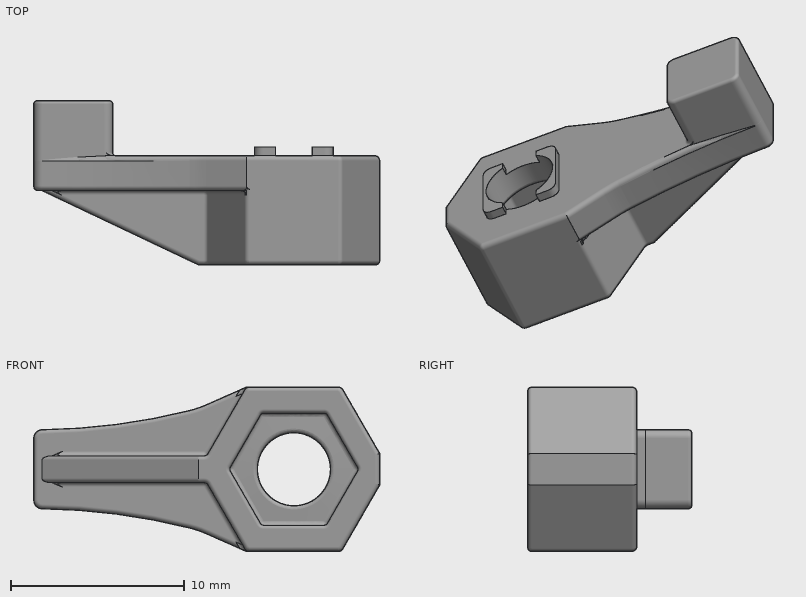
import cadquery as cq
import math

body_flats = 9.48
body_depth = 6.3
body_right = 4.95
body_round = 0.3

pocket_flats = 6.46
pocket_depth = 4.8
pocket_round = 0.22
floor_slope = math.radians(2.6)
bore_radius = 2.1

arm_left = -15.0
arm_thickness = 2.02
arm_flare_radius = 37.0
arm_flare_end = -5.5
arm_blend_radius = 6.0
arm_round = 0.25

square_side = 4.56
square_round = 0.5
post_height = 3.17
post_round = 0.2
post_foot_round = 0.18
key_height = 0.5
key_gap = 2.1

rib_width = 1.55
rib_tip = -14.52
rib_top = -5.5
rib_root = 0.1
front_round = 0.25
inner_round = 0.25

tolerance = 0.01
tan60 = math.tan(math.radians(60))
cos30 = math.cos(math.radians(30))
half_flats = body_flats / 2
corner_x = half_flats / tan60
half_square = square_side / 2
half_rib = rib_width / 2
post_x = arm_left + half_square
rib_slope = (body_depth - arm_thickness) / (rib_top - rib_tip)
rib_meets_body = -2 * corner_x + half_rib / tan60
space_run = 3 * corner_x

rib_slope_edges = cq.selectors.BoxSelector(
    (rib_tip, -body_depth + tolerance, -rib_width),
    (rib_top - rib_width, -arm_thickness, rib_width))


def prism_plane(depth=0.0):
    """Sketch plane parallel to XZ at Y = -depth; extrusions from it run toward -Y."""
    return cq.Workplane("XZ").workplane(offset=depth)


def depth_edges(part, x):
    """Edges parallel to Y at the given X."""
    return part.edges("|Y").filter(lambda edge: abs(edge.Center().x - x) < tolerance)


def rib_profile(start_depth):
    """Side outline of the rib, whose sloping face is carried on to the given depth."""
    start_x = rib_tip + (start_depth - arm_thickness) / rib_slope
    return cq.Workplane("XY").polyline([
        (start_x, -start_depth),
        (rib_top, -body_depth),
        (-corner_x, -body_depth),
        (-corner_x, -start_depth),
    ]).close()


def make_body_with_rib():
    hexagon = prism_plane().polygon(6, body_flats / cos30).extrude(body_depth)
    blank = prism_plane().rect(4 * corner_x, body_flats).extrude(body_depth)
    body = hexagon.intersect(blank.translate((body_right - 2 * corner_x, 0, 0)))
    rib = rib_profile(arm_thickness - rib_root).extrude(half_rib, both=True)
    part = body.union(rib)
    part = depth_edges(part, rib_meets_body).fillet(inner_round)
    for x in (-corner_x, corner_x):
        part = depth_edges(part, x).fillet(body_round)
    return part


def round_front(part):
    """Round the front outline of body and rib, and the two long edges of the sloping rib face."""
    rim = part.faces("<Y").edges().filter(lambda edge: abs(edge.Center().x - rib_top) > tolerance)
    return rim.add(part.edges(rib_slope_edges)).fillet(front_round)


def flare(x):
    """Half height of the arm on its long arc, which starts parallel to X at the free end."""
    run = x - arm_left
    return half_square + arm_flare_radius - math.sqrt(arm_flare_radius ** 2 - run ** 2)


def make_arm():
    middle_x = (arm_left + arm_flare_end) / 2
    arm = (
        prism_plane()
        .moveTo(arm_left, -half_square)
        .threePointArc((middle_x, -flare(middle_x)), (arm_flare_end, -flare(arm_flare_end)))
        .lineTo(-corner_x, -half_flats)
        .lineTo(0, -half_flats)
        .lineTo(0, half_flats)
        .lineTo(-corner_x, half_flats)
        .lineTo(arm_flare_end, flare(arm_flare_end))
        .threePointArc((middle_x, flare(middle_x)), (arm_left, half_square))
        .close()
        .extrude(arm_thickness)
    )
    arm = depth_edges(arm, arm_flare_end).fillet(arm_blend_radius)
    return depth_edges(arm, arm_left).fillet(square_round)


def round_arm_front(arm):
    """Round the front edges of the arm outside the body."""
    outside = arm.faces("<Y").edges().filter(lambda edge: edge.Center().x < -corner_x - tolerance)
    return outside.fillet(arm_round)


def make_corner_space(side, depth):
    """Open space in front of the arm, between the rib wall and the slanted body wall of one side."""
    near = side * half_rib
    far = side * (half_rib + space_run * tan60)
    return (
        prism_plane(arm_thickness)
        .moveTo(2 * arm_left, near)
        .lineTo(rib_meets_body, near)
        .lineTo(rib_meets_body + space_run, far)
        .lineTo(2 * arm_left, far)
        .close()
        .extrude(depth)
    )


def make_base_fillet(side, arm):
    """Fillet along the foot of the rib and body on one side, tapering off at the tip of the rib."""
    rounded = depth_edges(make_corner_space(side, body_depth), rib_meets_body).fillet(inner_round)
    walls = cq.selectors.BoxSelector(
        (2 * arm_left + tolerance, -arm_thickness - tolerance, -body_flats),
        (corner_x, -arm_thickness + tolerance, body_flats))
    rounded = rounded.edges(walls).fillet(inner_round)
    below_slope = rib_profile(0).extrude(half_rib + inner_round, both=True)
    below_slope = below_slope.edges(rib_slope_edges).chamfer(inner_round + front_round)
    beside_body = prism_plane().rect(-2 * (rib_top - inner_round), 2 * body_flats).extrude(body_depth)
    below_slope = below_slope.union(beside_body)
    above_arm = arm.translate((0, -arm_thickness, 0))
    strip = make_corner_space(side, inner_round).cut(rounded)
    return strip.intersect(below_slope).intersect(above_arm)


def make_square_bar(center_x, depth, length):
    """Square bar with rounded corners running back (toward +Y) from Y = -depth."""
    bar = prism_plane(depth).center(center_x, 0).rect(square_side, square_side).extrude(-length)
    return bar.edges("|Y").fillet(square_round)


def make_post():
    seat = arm_thickness - arm_round
    post = make_square_bar(post_x, seat, seat + post_height)
    return post.faces(">Y").edges().fillet(post_round)


def make_post_foot():
    """Concave round between the post and the flat back of the arm, on the side facing the body."""
    flat_half = flare(post_x + half_square) - body_round
    slab = prism_plane().center(post_x, 0).rect(2 * square_side, 2 * square_side).extrude(arm_thickness)
    foot = slab.union(make_square_bar(post_x, 0, post_height / 2))
    seat = cq.selectors.BoxSelector(
        (post_x - half_square - tolerance, -tolerance, -half_square - tolerance),
        (post_x + half_square + tolerance, tolerance, half_square + tolerance))
    foot = foot.edges(seat).fillet(post_foot_round)
    region = prism_plane().center(post_x + half_square, 0).rect(square_side, 2 * flat_half)
    return foot.intersect(region.extrude(-post_foot_round))


def make_key():
    key = make_square_bar(0, 0, key_height)
    gap = prism_plane().rect(key_gap, 2 * square_side).extrude(-key_height)
    return key.cut(gap)


def from_bore_axis(edge):
    """Distance of the midpoint of an edge from the bore axis."""
    return math.hypot(edge.Center().x, edge.Center().z)


def make_pocket():
    """Hexagonal pocket with rounded corners and a floor that rises as a flat cone to the bore."""
    floor_y = pocket_depth - body_depth
    cone_radius = pocket_flats
    slope = math.tan(floor_slope)
    cone = (
        cq.Workplane("YZ")
        .moveTo(-body_depth, 0)
        .lineTo(-body_depth, cone_radius)
        .lineTo(floor_y + (cone_radius - bore_radius) * slope, cone_radius)
        .lineTo(floor_y - bore_radius * slope, 0)
        .close()
        .revolve(360, (0, 0, 0), (1, 0, 0))
    )
    hexagon = prism_plane().polygon(6, pocket_flats / cos30).extrude(body_depth)
    pocket = hexagon.intersect(cone).edges("|Y").fillet(pocket_round)
    floor_rim = pocket.faces("%CONE").edges().filter(lambda edge: from_bore_axis(edge) > bore_radius)
    return floor_rim.fillet(pocket_round)


def make_bore():
    return prism_plane(-key_height).circle(bore_radius).extrude(body_depth + key_height)


def round_pocket_mouth(part):
    between_hexagons = (pocket_flats + body_flats) / 4
    mouth = part.faces("<Y").edges().filter(lambda edge: from_bore_axis(edge) < between_hexagons)
    return mouth.fillet(pocket_round)


def round_bore_rim(part):
    """Round the circle where the bore leaves the conical pocket floor."""
    circles = part.faces("%CONE").edges("%CIRCLE")
    rim = circles.filter(lambda edge: edge.radius() < bore_radius + tolerance)
    return rim.fillet(pocket_round)


arm = make_arm()
result = round_front(make_body_with_rib()).union(round_arm_front(arm))
for side in (-1, 1):
    result = result.union(make_base_fillet(side, arm))
result = result.faces(">Y").edges().fillet(body_round)
result = result.union(make_post())
result = result.union(make_post_foot())
result = result.union(make_key())
result = result.cut(make_pocket())
result = result.cut(make_bore())
result = round_pocket_mouth(result)
result = round_bore_rim(result)